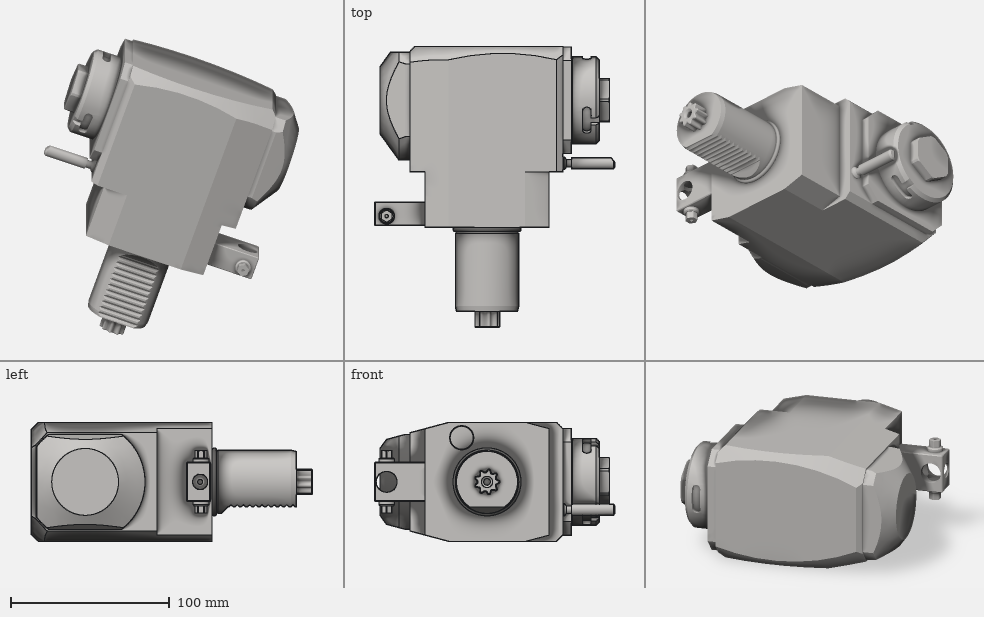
import cadquery as cq
import math


OVERALL_WIDTH = 151.3

HALF_HEIGHT = 37.5
HEAD_LEFT = -48.5
HEAD_RIGHT = 47.8
HEAD_FRONT = 34.9
HOUSING_BACK = 114.0
BASE_HALF_WIDTH = 39.1
FLAT_HALF_WIDTH = 24.0
FLANK_ANGLE = 15
HEAD_CHAMFER = 4.0
BACK_LEFT_CHAMFER = 3.2
BACK_BEVEL = 4.5
BEVEL_CENTRE_X = 10.0
BEVEL_RADIUS = 136.3

PLUG_X = -16.0
PLUG_Z = 27.8
PLUG_RADIUS = 7.6
PLUG_GROOVE = 0.4

COLLAR_RADIUS = 21.5
COLLAR_LENGTH = 2.7
SHANK_RADIUS = 20.0
SHANK_NECK_RADIUS = 19.6
SHANK_NECK_END = 3.7
SHANK_LENGTH = 53.0
SHANK_END_TAPER = 0.8
SHANK_TAPER_LENGTH = 3.2
RACK_FLAT = 15.8
RACK_START = 10.0
RACK_RAMP = 4.8
TOOTH_PITCH = 3.9
TOOTH_DEPTH = 1.2
TOOTH_WIDTH = 2.8
TOOTH_COUNT = 11

SPLINE_END = 63.0
SPLINE_LOBES = 9
SPLINE_OUTER = 8.1
SPLINE_ROOT = 6.2
SPLINE_FLANK_OUTER = 7.8
SPLINE_FLANK_INNER = 6.5
SPLINE_TIP_HALF_ANGLE = 6
SPLINE_ROOT_HALF_ANGLE = 6
SPLINE_CHAMFER = 0.5
CENTRE_BORE_RADIUS = 2.1
CENTRE_BORE_DEPTH = 5.3
CENTRE_BORE_CHAMFER = 1.5

SPINDLE_Y = 80.0
PLATE_HALF = 33.6
PLATE_CORNER = 8.7
PLATE_END = 53.1
NUT_START = 53.8
NUT_END = 70.8
NUT_RADIUS = 27.5
NUT_NECK_RADIUS = 26.2
NUT_CHAMFER = 2.1
NUT_SLOT_COUNT = 3
NUT_SLOT_ANGLE = 29
NUT_SLOT_LENGTH = 18.8
NUT_SLOT_X = 62.8
NUT_SLOT_WIDTH = 5.5
NUT_SLOT_DEPTH = 2.8
NUT_NOTCH_WIDTH = 5.0
NOTCHED_SLOTS = (0, 1)
HEX_END = 77.2
HEX_ACROSS_FLATS = 27.5
HEX_CORNER_RADIUS = 15.4
HEX_CHAMFER = 0.5

COVER_RADIUS = 37.7
COVER_CONE_START = -55.4
COVER_END = -67.5
COVER_END_RADIUS = 21.0
COVER_HALF_HEIGHT = 30.0
COVER_SLOPE_START = -51.5
COVER_BACK = 110.3

BLOCK_LEFT = -70.8
BLOCK_FRONT = 1.0
BLOCK_BACK = 16.1
BLOCK_HALF_HEIGHT = 12.4
BLOCK_CHAMFER = 0.5
PORT_X = -63.2
PORT_RADIUS = 6.5
END_PORT_Y = 7.6
END_PORT_RADIUS = 4.8
END_PORT_DEPTH = 21.2
CROSS_PORT_HALF_LENGTH = 7.5
FEED_RADIUS = 1.6
FITTING_Y = 7.0
WASHER_RADIUS = 5.0
WASHER_HEIGHT = 2.7
WASHER_CHAMFER = 0.7
FITTING_HEIGHT = 7.3
FITTING_ACROSS_FLATS = 6.7
FITTING_CORNER_RADIUS = 3.7
FITTING_BORE_RADIUS = 1.0
FITTING_BORE_DEPTH = 1.8

PIN_Y = 40.4
PIN_Z = -17.5
PIN_RADIUS = 3.5
PIN_END = BLOCK_LEFT + OVERALL_WIDTH
PIN_BODY_START = 53.3
PIN_NECK_RADIUS = 2.5
PIN_FOOT_RADIUS = 4.0
PIN_FOOT_LENGTH = 0.7
PIN_FOOT_CONE_END = 50.0
PIN_CHAMFER = 1.0
PIN_END_CUT_LENGTH = 2.5
PIN_END_CUT_DEPTH = 3.0

SLOPE = math.tan(math.radians(FLANK_ANGLE))
OVERSHOOT = 1.8


def flank_z(distance):
    """Height of the sloped top flank at a distance from the shank axis."""
    return HALF_HEIGHT - (distance - FLAT_HALF_WIDTH) * SLOPE


def mirrored_outline(upper_points):
    """Closed outline made of the given points and their mirror images below Z = 0."""
    lower_points = [(x, -z) for x, z in reversed(upper_points)]
    return upper_points + lower_points


def slab(outline, y_start, y_end):
    """Prism with an XZ outline between two Y positions."""
    return (cq.Workplane("XZ", origin=(0, y_start, 0))
            .polyline(outline).close().extrude(y_start - y_end))


def turned_about_x(profile, y, z=0):
    """Solid of revolution from (x, radius) points around an axis parallel to X."""
    return (cq.Workplane("XY", origin=(0, y, z))
            .polyline(profile).close().revolve(360, (0, 0, 0), (1, 0, 0)))


def cylinder_y(radius, y_start, y_end, x=0, z=0):
    return (cq.Workplane("XZ", origin=(x, y_start, z))
            .circle(radius).extrude(y_start - y_end))


def cylinder_x(radius, x_start, x_end, y):
    return (cq.Workplane("YZ", origin=(x_start, y, 0))
            .circle(radius).extrude(x_end - x_start))


def hexagon(workplane, across_flats, length):
    """Hexagonal prism with flats square to the first axis of the workplane."""
    corner = across_flats / math.sqrt(3)
    angles = [math.radians(30 + 60 * i) for i in range(6)]
    points = [(corner * math.cos(a), corner * math.sin(a)) for a in angles]
    return workplane.polyline(points).close().extrude(length)


def bevel_envelope():
    """Solid between two opposed large cones that bevel the curved upper and lower back edges."""
    arc_centre = HALF_HEIGHT - BACK_BEVEL - BEVEL_RADIUS
    wide_radius = BEVEL_RADIUS + HOUSING_BACK
    cone = (cq.Workplane("XY")
            .polyline([(0, 0), (wide_radius, 0), (BEVEL_RADIUS, HOUSING_BACK), (0, HOUSING_BACK)])
            .close().revolve(360, (0, 0, 0), (0, 1, 0)))
    upper = cone.translate((BEVEL_CENTRE_X, 0, arc_centre))
    lower = cone.translate((BEVEL_CENTRE_X, 0, -arc_centre))
    return upper.intersect(lower)


def make_housing():
    head = slab(mirrored_outline([
        (HEAD_LEFT, flank_z(-HEAD_LEFT)),
        (-FLAT_HALF_WIDTH, HALF_HEIGHT),
        (HEAD_RIGHT - HEAD_CHAMFER, HALF_HEIGHT),
        (HEAD_RIGHT, HALF_HEIGHT - HEAD_CHAMFER),
    ]), HEAD_FRONT, HOUSING_BACK)
    head = head.edges("|Z and <X and >Y").chamfer(BACK_LEFT_CHAMFER)
    base = slab(mirrored_outline([
        (-BASE_HALF_WIDTH, flank_z(BASE_HALF_WIDTH)),
        (-FLAT_HALF_WIDTH, HALF_HEIGHT),
        (FLAT_HALF_WIDTH, HALF_HEIGHT),
        (BASE_HALF_WIDTH, flank_z(BASE_HALF_WIDTH)),
    ]), 0, HEAD_FRONT)
    groove = cylinder_y(PLUG_RADIUS, 0, PLUG_GROOVE, PLUG_X, PLUG_Z).cut(
        cylinder_y(PLUG_RADIUS - PLUG_GROOVE, 0, PLUG_GROOVE, PLUG_X, PLUG_Z))
    return head.intersect(bevel_envelope()).union(base).cut(groove)


def rack_cutter():
    """Material removed below the shank: a ramped flat with cross grooves."""
    y_end = -SHANK_LENGTH - OVERSHOOT
    z_low = -RACK_FLAT - 2 * RACK_RAMP
    flat = (cq.Workplane("YZ")
            .polyline([(-RACK_START, -RACK_FLAT), (y_end, -RACK_FLAT),
                       (y_end, z_low), (-RACK_START + 2 * RACK_RAMP, z_low)])
            .close().extrude(SHANK_RADIUS, both=True))
    for i in range(TOOTH_COUNT):
        y = -RACK_START - TOOTH_PITCH * (i + 0.5)
        groove = (cq.Workplane("YZ")
                  .polyline([(y - TOOTH_WIDTH / 2, -RACK_FLAT),
                             (y, -RACK_FLAT + TOOTH_DEPTH),
                             (y + TOOTH_WIDTH / 2, -RACK_FLAT)])
                  .close().extrude(SHANK_RADIUS, both=True))
        flat = flat.union(groove)
    return flat


def make_shank():
    edge_radius = COLLAR_LENGTH / 2
    body = (cq.Workplane("XY")
            .moveTo(0, 0)
            .lineTo(COLLAR_RADIUS - edge_radius, 0)
            .threePointArc((COLLAR_RADIUS, -edge_radius), (COLLAR_RADIUS - edge_radius, -COLLAR_LENGTH))
            .lineTo(SHANK_NECK_RADIUS, -COLLAR_LENGTH)
            .lineTo(SHANK_NECK_RADIUS, -SHANK_NECK_END)
            .lineTo(SHANK_RADIUS, -SHANK_NECK_END)
            .lineTo(SHANK_RADIUS, -SHANK_LENGTH + SHANK_TAPER_LENGTH)
            .lineTo(SHANK_RADIUS - SHANK_END_TAPER, -SHANK_LENGTH)
            .lineTo(0, -SHANK_LENGTH)
            .close().revolve(360, (0, 0, 0), (0, 1, 0)))
    return body.cut(rack_cutter())


def polar(radius, degrees):
    angle = math.radians(degrees)
    return (radius * math.cos(angle), radius * math.sin(angle))


def make_spline():
    """Nine rounded lobes with a chamfered centre bore."""
    pitch = 360 / SPLINE_LOBES
    outline = (cq.Workplane("XZ", origin=(0, -SHANK_LENGTH, 0))
               .moveTo(*polar(SPLINE_FLANK_OUTER, -SPLINE_TIP_HALF_ANGLE)))
    for i in range(SPLINE_LOBES):
        lobe = i * pitch
        valley = lobe + pitch / 2
        outline = (outline
                   .threePointArc(polar(SPLINE_OUTER, lobe),
                                  polar(SPLINE_FLANK_OUTER, lobe + SPLINE_TIP_HALF_ANGLE))
                   .lineTo(*polar(SPLINE_FLANK_INNER, valley - SPLINE_ROOT_HALF_ANGLE))
                   .threePointArc(polar(SPLINE_ROOT, valley),
                                  polar(SPLINE_FLANK_INNER, valley + SPLINE_ROOT_HALF_ANGLE)))
        if i < SPLINE_LOBES - 1:
            outline = outline.lineTo(*polar(SPLINE_FLANK_OUTER, lobe + pitch - SPLINE_TIP_HALF_ANGLE))
    lobes = outline.close().extrude(SPLINE_END - SHANK_LENGTH)
    lobes = lobes.faces("<Y").edges().chamfer(SPLINE_CHAMFER)
    bore_end = -SPLINE_END + CENTRE_BORE_DEPTH
    bore = (cq.Workplane("XY")
            .polyline([(0, -SPLINE_END), (CENTRE_BORE_RADIUS + CENTRE_BORE_CHAMFER, -SPLINE_END),
                       (CENTRE_BORE_RADIUS, -SPLINE_END + CENTRE_BORE_CHAMFER),
                       (CENTRE_BORE_RADIUS, bore_end), (0, bore_end)])
            .close().revolve(360, (0, 0, 0), (0, 1, 0)))
    return lobes.cut(bore)


def make_plate():
    side = 2 * PLATE_HALF
    return (cq.Workplane("YZ", origin=(HEAD_RIGHT, SPINDLE_Y, 0))
            .rect(side, side).extrude(PLATE_END - HEAD_RIGHT)
            .edges("|X").chamfer(PLATE_CORNER))


def nut_slot(notched):
    """Obround slot running around the nut, optionally open to the end face through a notch."""
    slot = (cq.Workplane("XY", origin=(NUT_SLOT_X, 0, 0))
            .slot2D(NUT_SLOT_LENGTH, NUT_SLOT_WIDTH, 90).extrude(NUT_RADIUS + OVERSHOOT))
    if notched:
        notch = (cq.Workplane("XY", origin=(NUT_SLOT_X, 0, 0))
                 .rect(NUT_END - NUT_SLOT_X + OVERSHOOT, NUT_NOTCH_WIDTH, centered=(False, True))
                 .extrude(NUT_RADIUS + OVERSHOOT))
        slot = slot.union(notch)
    return slot.cut(cylinder_x(NUT_RADIUS - NUT_SLOT_DEPTH, PLATE_END, HEX_END, 0))


def make_nut():
    nut = turned_about_x([
        (PLATE_END, 0), (PLATE_END, NUT_NECK_RADIUS),
        (NUT_START, NUT_NECK_RADIUS), (NUT_START, NUT_RADIUS),
        (NUT_END - NUT_CHAMFER, NUT_RADIUS), (NUT_END, NUT_RADIUS - NUT_CHAMFER), (NUT_END, 0),
    ], SPINDLE_Y)
    for i in range(NUT_SLOT_COUNT):
        angle = NUT_SLOT_ANGLE + i * 360 / NUT_SLOT_COUNT
        slot = nut_slot(i in NOTCHED_SLOTS)
        nut = nut.cut(slot.rotate((0, 0, 0), (1, 0, 0), angle).translate((0, SPINDLE_Y, 0)))
    hex_plane = cq.Workplane("YZ", origin=(NUT_END, SPINDLE_Y, 0))
    hex_end = hexagon(hex_plane, HEX_ACROSS_FLATS, HEX_END - NUT_END)
    hex_round = (cylinder_x(HEX_CORNER_RADIUS, NUT_END, HEX_END, SPINDLE_Y)
                 .faces(">X").edges().chamfer(HEX_CHAMFER))
    return nut.union(hex_end.intersect(hex_round))


def make_cover():
    cover = turned_about_x([
        (HEAD_LEFT, 0), (HEAD_LEFT, COVER_RADIUS), (COVER_CONE_START, COVER_RADIUS),
        (COVER_END, COVER_END_RADIUS), (COVER_END, 0),
    ], SPINDLE_Y)
    end_half_height = COVER_HALF_HEIGHT - (COVER_SLOPE_START - COVER_END) * SLOPE
    envelope = slab(mirrored_outline([
        (COVER_END, end_half_height),
        (COVER_SLOPE_START, COVER_HALF_HEIGHT),
        (HEAD_LEFT, COVER_HALF_HEIGHT),
    ]), SPINDLE_Y - COVER_RADIUS, COVER_BACK)
    return cover.intersect(envelope)


def make_fitting():
    """Hexagon fitting on a round washer, standing on the top of the coolant block."""
    base = cq.Workplane("XY", origin=(PORT_X, FITTING_Y, BLOCK_HALF_HEIGHT))
    washer = base.circle(WASHER_RADIUS).extrude(WASHER_HEIGHT).faces(">Z").edges().chamfer(WASHER_CHAMFER)
    head = hexagon(base, FITTING_ACROSS_FLATS, FITTING_HEIGHT)
    head = head.intersect(base.circle(FITTING_CORNER_RADIUS).extrude(FITTING_HEIGHT))
    bore = (base.workplane(offset=FITTING_HEIGHT)
            .circle(FITTING_BORE_RADIUS).extrude(-FITTING_BORE_DEPTH))
    return washer.union(head).cut(bore)


def make_coolant_block():
    block = (cq.Workplane("XY")
             .box(-BASE_HALF_WIDTH - BLOCK_LEFT, BLOCK_BACK - BLOCK_FRONT, 2 * BLOCK_HALF_HEIGHT,
                  centered=(False, False, True))
             .translate((BLOCK_LEFT, BLOCK_FRONT, 0)))
    block = block.edges("|X or <X").chamfer(BLOCK_CHAMFER)
    block = block.cut(cylinder_y(PORT_RADIUS, BLOCK_FRONT, BLOCK_BACK, PORT_X))
    block = block.cut(cylinder_x(END_PORT_RADIUS, BLOCK_LEFT, BLOCK_LEFT + END_PORT_DEPTH, END_PORT_Y))
    block = block.cut(cylinder_x(FEED_RADIUS, PORT_X, -BASE_HALF_WIDTH, END_PORT_Y))
    block = block.cut(cq.Workplane("XY", origin=(PORT_X, FITTING_Y, 0))
                      .circle(END_PORT_RADIUS).extrude(CROSS_PORT_HALF_LENGTH, both=True))
    fitting = make_fitting()
    return block.union(fitting).union(fitting.mirror("XY"))


def make_pin():
    foot_end = HEAD_RIGHT + PIN_FOOT_LENGTH
    pin = turned_about_x([
        (HEAD_RIGHT, 0), (HEAD_RIGHT, PIN_FOOT_RADIUS), (foot_end, PIN_FOOT_RADIUS),
        (PIN_FOOT_CONE_END, PIN_NECK_RADIUS), (PIN_BODY_START, PIN_NECK_RADIUS),
        (PIN_BODY_START, PIN_RADIUS), (PIN_END - PIN_CHAMFER, PIN_RADIUS),
        (PIN_END, PIN_RADIUS - PIN_CHAMFER), (PIN_END, 0),
    ], PIN_Y, PIN_Z)
    corner_y = PIN_Y + PIN_RADIUS
    end_cut = (cq.Workplane("XY", origin=(0, 0, PIN_Z))
               .polyline([(PIN_END - PIN_END_CUT_LENGTH, corner_y), (PIN_END, corner_y),
                          (PIN_END, corner_y - PIN_END_CUT_DEPTH)])
               .close().extrude(PIN_RADIUS, both=True))
    return pin.cut(end_cut)


result = make_housing()
for component in (make_shank(), make_spline(), make_plate(), make_nut(),
                  make_cover(), make_coolant_block(), make_pin()):
    result = result.union(component)